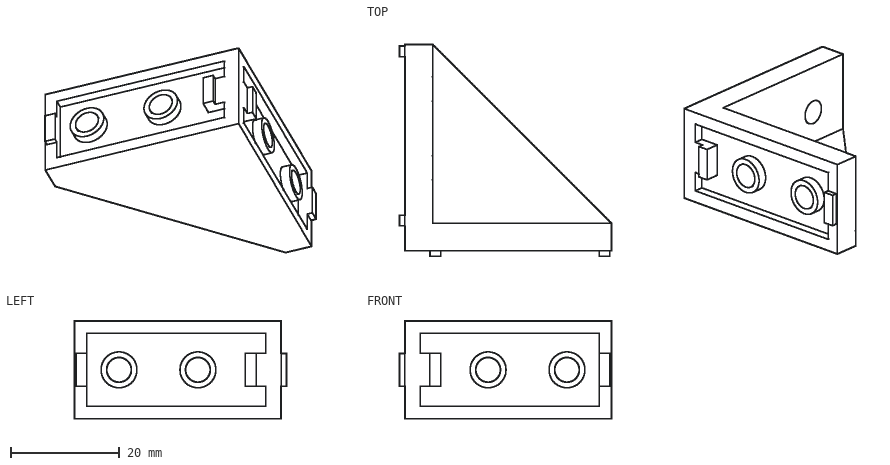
import cadquery as cq


LEG_LENGTH = 38.0
LEG_THICKNESS = 5.1
HEIGHT = 18.0
GUSSET_THICKNESS = 3.0

RECESS_DEPTH = 1.8
RIM_WIDTH = 2.3
CORNER_RIM_WIDTH = 2.8
RECESS_END = LEG_LENGTH - RIM_WIDTH
RECESS_LENGTH = RECESS_END - CORNER_RIM_WIDTH
RECESS_HEIGHT = HEIGHT - 2 * RIM_WIDTH

HOLE_DIAMETER = 4.5
BOSS_DIAMETER = 6.6
FIRST_HOLE = 15.3
HOLE_SPACING = 14.5
HOLE_POSITIONS = [FIRST_HOLE, FIRST_HOLE + HOLE_SPACING]

TAB_WIDTH = 2.0
TAB_HEIGHT = 6.1
TAB_PROJECTION = 1.0
INNER_TAB_START = 4.6
OUTER_TAB_START = RECESS_END

RIB_LENGTH = INNER_TAB_START + TAB_WIDTH - CORNER_RIM_WIDTH

MID_HEIGHT = HEIGHT / 2


def mid_height_box(x_start, length, y_start, depth, height):
    """Box centred on the mid height of the bracket."""
    return (
        cq.Workplane("XY")
        .box(length, depth, height, centered=(False, False, True))
        .translate((x_start, y_start, MID_HEIGHT))
    )


def across_leg(diameter, length):
    """Cylinders from the outer face along +Y at both hole positions of the leg lying along X."""
    return (
        cq.Workplane("XZ", origin=(0, 0, MID_HEIGHT))
        .pushPoints([(x, 0) for x in HOLE_POSITIONS])
        .circle(diameter / 2)
        .extrude(-length)
    )


def make_tabs():
    """Both tabs of one leg, resting on its outer face."""
    inner_tab = mid_height_box(INNER_TAB_START, TAB_WIDTH, -TAB_PROJECTION, TAB_PROJECTION, TAB_HEIGHT)
    outer_tab = inner_tab.translate((OUTER_TAB_START - INNER_TAB_START, 0, 0))
    return inner_tab.union(outer_tab)


def make_recess():
    """Space taken out of the outer face of one leg, leaving the bosses and the rib standing."""
    rib = mid_height_box(CORNER_RIM_WIDTH, RIB_LENGTH, 0, RECESS_DEPTH, TAB_HEIGHT)
    return (
        mid_height_box(CORNER_RIM_WIDTH, RECESS_LENGTH, 0, RECESS_DEPTH, RECESS_HEIGHT)
        .cut(rib)
        .cut(across_leg(BOSS_DIAMETER, RECESS_DEPTH))
    )


def make_gusset():
    """Triangular web joining the inner faces of the legs at the bottom."""
    return (
        cq.Workplane("XY")
        .moveTo(LEG_THICKNESS, LEG_THICKNESS)
        .lineTo(LEG_LENGTH, LEG_THICKNESS)
        .lineTo(LEG_THICKNESS, LEG_LENGTH)
        .close()
        .extrude(GUSSET_THICKNESS)
    )


def on_other_leg(shape):
    """Mirror image of a shape about the plane X = Y."""
    return shape.mirror((1, -1, 0))


def make_bracket():
    """Whole bracket; the legs are joined before the recesses and holes are cut."""
    leg = mid_height_box(0, LEG_LENGTH, 0, LEG_THICKNESS, HEIGHT)
    recess = make_recess()
    holes = across_leg(HOLE_DIAMETER, LEG_THICKNESS)
    tabs = make_tabs()
    bracket = leg.union(on_other_leg(leg)).union(make_gusset())
    bracket = bracket.cut(recess).cut(on_other_leg(recess))
    bracket = bracket.cut(holes).cut(on_other_leg(holes))
    return bracket.union(tabs).union(on_other_leg(tabs))


result = make_bracket()